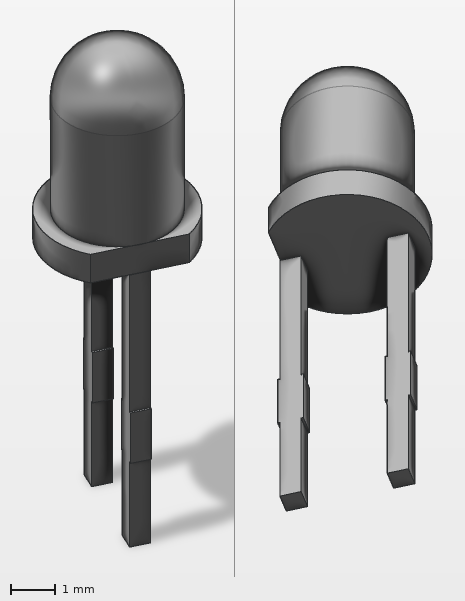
import cadquery as cq
import math

total_height = 12.88

lens_diameter = 3.04
lens_radius = lens_diameter / 2
flange_diameter = 3.84
flange_thickness = 0.79
flat_offset = 1.51

lead_length = 7.51
lead_pitch = 2.54
lead_thickness = 0.5
standoff_width = 0.6
standoff_bottom = 2.35
standoff_height = 1.39

flange_top = lead_length + flange_thickness
dome_base = total_height - lens_radius


def make_flange():
    """Disc with its +X edge cut off along a flat."""
    flange_radius = flange_diameter / 2
    disc = cq.Workplane("XY").workplane(offset=lead_length).circle(flange_radius).extrude(flange_thickness)
    flat_cutter = cq.Workplane("XY").box(
        flange_radius, flange_diameter, total_height, centered=(False, True, False)
    ).translate((flat_offset, 0, 0))
    return disc.cut(flat_cutter)


def make_bulb():
    """Cylinder with a hemispherical dome, revolved about Z."""
    arc_reach = lens_radius * math.cos(math.pi / 4)
    return (
        cq.Workplane("XZ")
        .moveTo(0, flange_top)
        .lineTo(lens_radius, flange_top)
        .lineTo(lens_radius, dome_base)
        .threePointArc((arc_reach, dome_base + arc_reach), (0, total_height))
        .close()
        .revolve(360, (0, 0, 0), (0, 1, 0))
    )


def make_lens():
    return make_flange().union(make_bulb())


def make_lead(x_position):
    """Square wire with a stand-off section wider along X."""
    base_centred = (True, True, False)
    wire = cq.Workplane("XY").box(lead_thickness, lead_thickness, lead_length, centered=base_centred)
    standoff = cq.Workplane("XY").box(
        standoff_width, lead_thickness, standoff_height, centered=base_centred
    ).translate((0, 0, standoff_bottom))
    return wire.union(standoff).translate((x_position, 0, 0))


lens = make_lens()
leads = [make_lead(side * lead_pitch / 2) for side in (-1, 1)]

result = cq.Compound.makeCompound([lens.solids().val(), *[lead.solids().val() for lead in leads]])